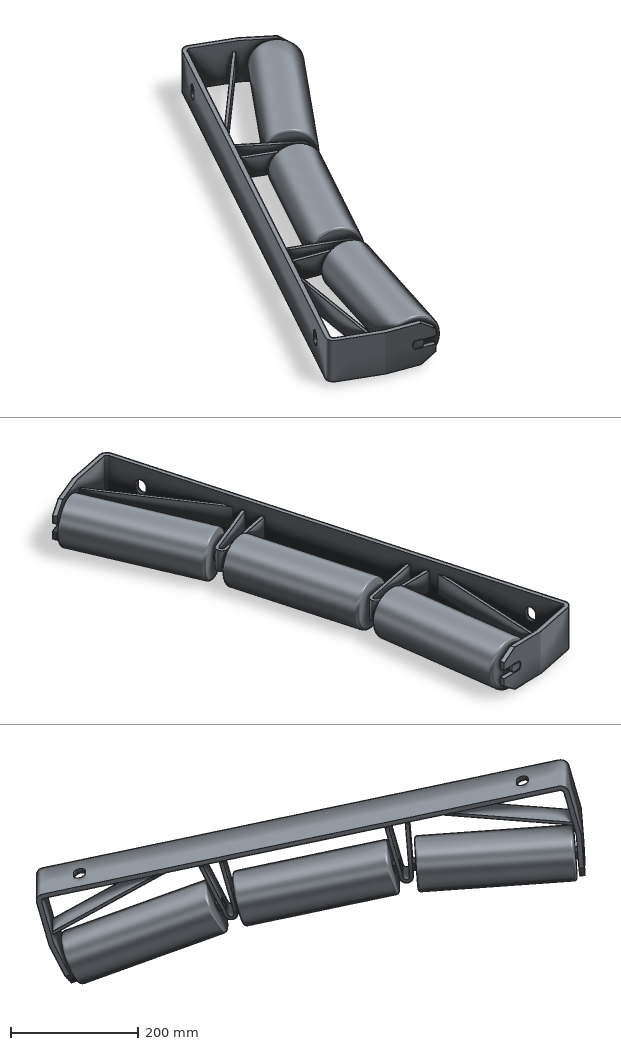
import cadquery as cq
import math


frame_length = 860.0
frame_width = 78.0
frame_thickness = 8.0
frame_bend_radius = 14.0
upright_height = 95.0
flange_tip_height = 181.0
flange_tip_width = 43.0
flange_taper_height = 25.0
mount_slot_x = 358.0
mount_slot_width = 19.0
mount_slot_height = 27.0

roller_length = 250.0
roller_diameter = 89.0
roller_edge_radius = 5.0
axle_diameter = 20.0
axle_flats = 15.5

trough_angle = 10.0
forward_tilt = 1.5
centre_roller_y = 101.5
centre_roller_z = -7.0
side_roller_x = 284.0
side_roller_y = 127.0
side_roller_z = -3.5

bracket_width = 39.0
bracket_thickness = 6.0
bracket_reach = 131.0
bracket_bend_y = 118.0

strut_width = 38.0
strut_thickness = 5.0
strut_foot_x = 188.0
strut_top_y = 89.0

lean_cos = math.cos(math.radians(trough_angle))
lean_sin = math.sin(math.radians(trough_angle))
axle_length = 2 * (bracket_reach + bracket_thickness)


def centred_plane(width):
    """XY workplane from which a strip of this width extrudes evenly about Z = 0."""
    return cq.Workplane().workplane(offset=-width / 2)


def mirrored(body):
    return body.mirror("YZ")


def on_side_axis(body):
    """Move a body from the origin, lying along X, to the right-hand roller's axis."""
    return (
        body.rotate((0, 0, 0), (0, 1, 0), -forward_tilt)
        .rotate((0, 0, 0), (0, 0, 1), trough_angle)
        .translate((side_roller_x, side_roller_y, side_roller_z))
    )


def on_centre_axis(body):
    return body.translate((0, centre_roller_y, centre_roller_z))


def make_bar(diameter, length):
    """Round bar along X with its middle at the origin."""
    return cq.Workplane("YZ").workplane(offset=-length / 2).circle(diameter / 2).extrude(length)


def make_axle(length):
    """Round bar along X with two flats facing +Z and -Z."""
    bar = make_bar(axle_diameter, length)
    return bar.intersect(cq.Workplane().box(length, axle_diameter, axle_flats))


def make_roller():
    """Shell with rounded rims and its axle, lying along X about the origin."""
    shell = make_bar(roller_diameter, roller_length).faces("<X or >X").fillet(roller_edge_radius)
    return shell.union(make_axle(axle_length))


def make_flange_slot():
    """Cutter that seats the outer axle end and opens toward the flange tip."""
    slot_depth = flange_tip_height - upright_height
    outer_end = cq.Workplane().box(roller_length / 2, slot_depth, axle_flats)
    outer_end = outer_end.translate((axle_length / 2, slot_depth / 2, 0))
    return on_side_axis(outer_end.union(make_axle(frame_length / 2)))


def make_frame():
    """Base plate, uprights and leaning flanges, built as a right half and mirrored."""
    half = frame_length / 2
    rise = flange_tip_height - upright_height
    tip_x = half - rise * lean_sin / lean_cos
    inner_x = half - frame_thickness
    inner_bend_y = upright_height - frame_thickness * math.tan(math.radians(trough_angle / 2))
    inner_tip_x = tip_x - frame_thickness * lean_cos
    inner_tip_y = flange_tip_height - frame_thickness * lean_sin

    half_outline = [
        (0, 0),
        (half, 0),
        (half, upright_height),
        (tip_x, flange_tip_height),
        (inner_tip_x, inner_tip_y),
        (inner_x, inner_bend_y),
        (inner_x, frame_thickness),
        (0, frame_thickness),
    ]
    right_half = centred_plane(frame_width).polyline(half_outline).close().extrude(frame_width)
    inner_bend_radius = frame_bend_radius - frame_thickness
    for x, y, radius in [
        (half, 0, frame_bend_radius),
        (inner_x, frame_thickness, inner_bend_radius),
        (half, upright_height, frame_bend_radius),
        (inner_x, inner_bend_y, inner_bend_radius),
    ]:
        bend = cq.selectors.NearestToPointSelector((x, y, 0))
        right_half = right_half.edges(bend).fillet(radius)

    taper_y = flange_tip_height - flange_taper_height
    profile = (
        cq.Workplane("YZ")
        .moveTo(0, -frame_width / 2)
        .lineTo(taper_y, -frame_width / 2)
        .lineTo(flange_tip_height, -flange_tip_width / 2)
        .lineTo(flange_tip_height, flange_tip_width / 2)
        .lineTo(taper_y, frame_width / 2)
        .lineTo(0, frame_width / 2)
        .close()
        .extrude(half)
    )
    right_half = right_half.intersect(profile).cut(make_flange_slot())

    mount_slot = (
        cq.Workplane("XZ")
        .center(mount_slot_x, 0)
        .slot2D(mount_slot_height, mount_slot_width, 90)
        .extrude(-frame_thickness)
    )
    right_half = right_half.cut(mount_slot)
    return right_half.union(mirrored(right_half))


def make_bracket():
    """Right-hand bracket: an upright leg, a rounded fold and a leaning leg."""
    half_thickness = bracket_thickness / 2
    leg_x = bracket_reach + half_thickness
    lean_distance = side_roller_x * lean_cos + side_roller_y * lean_sin - bracket_reach - half_thickness
    bend_radius = (lean_distance - leg_x * lean_cos - bracket_bend_y * lean_sin) / (1 + lean_cos)
    bend_x = leg_x + bend_radius

    def lean_foot_x(offset):
        return (lean_distance + offset - frame_thickness * lean_sin) / lean_cos

    def bend_point(radius, angle):
        return (bend_x + radius * math.cos(angle), bracket_bend_y + radius * math.sin(angle))

    lean_angle = math.radians(trough_angle)
    top_angle = (lean_angle + math.pi) / 2
    outer = bend_radius + half_thickness
    inner = bend_radius - half_thickness
    strip = (
        centred_plane(bracket_width)
        .moveTo(leg_x - half_thickness, frame_thickness)
        .lineTo(*bend_point(outer, math.pi))
        .threePointArc(bend_point(outer, top_angle), bend_point(outer, lean_angle))
        .lineTo(lean_foot_x(half_thickness), frame_thickness)
        .lineTo(lean_foot_x(-half_thickness), frame_thickness)
        .lineTo(*bend_point(inner, lean_angle))
        .threePointArc(bend_point(inner, top_angle), bend_point(inner, math.pi))
        .lineTo(leg_x + half_thickness, frame_thickness)
        .close()
        .extrude(bracket_width)
    )
    return strip.cut(on_centre_axis(make_axle(axle_length))).cut(on_side_axis(make_axle(axle_length)))


def make_strut():
    """Right-hand strut, its ends cut to lie flat on the base plate and the upright."""
    top_x = frame_length / 2 - frame_thickness
    slope = math.atan2(strut_top_y - frame_thickness, top_x - strut_foot_x)
    outline = [
        (strut_foot_x, frame_thickness),
        (top_x, strut_top_y),
        (top_x, strut_top_y - strut_thickness / math.cos(slope)),
        (strut_foot_x + strut_thickness / math.sin(slope), frame_thickness),
    ]
    return centred_plane(strut_width).polyline(outline).close().extrude(strut_width)


frame = make_frame()
bracket = make_bracket()
strut = make_strut()
centre_roller = on_centre_axis(make_roller())
side_roller = on_side_axis(make_roller())

bodies = [*frame.solids().vals(), *centre_roller.solids().vals()]
for right_body in (side_roller, bracket, strut):
    bodies.append(right_body.solids().val())
    bodies.append(mirrored(right_body).solids().val())

result = cq.Compound.makeCompound(bodies)